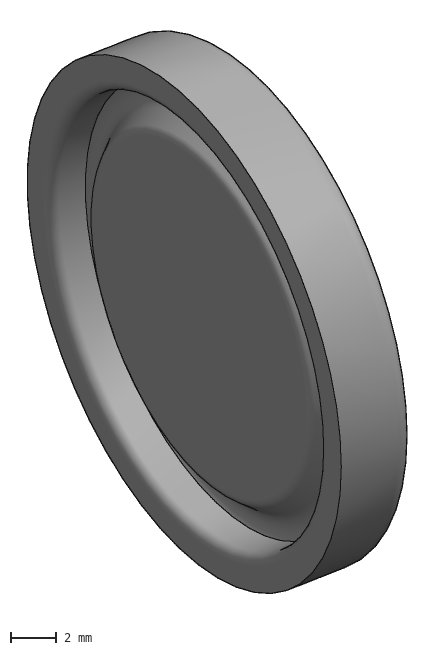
import cadquery as cq
import math

outer_radius = 12.5
thickness = 4.7

back_cone_angle = math.radians(20)
back_flat_radius = 9.42
back_corner_radius = 0.8

recess_radius = 10.75
rim_edge_radius = 0.5
recess_wall_depth = 1.9

centre_depth = 0.8
centre_flat_radius = 8.48
centre_edge_radius = 0.5
flank_angle = math.radians(39)
flank_foot_radius = 9.48

front_y = -thickness / 2
back_y = thickness / 2


def arc_middle(centre, radius, start_angle, end_angle):
    """Point halfway along an arc whose angles are measured from the radial direction."""
    angle = (start_angle + end_angle) / 2
    return (centre[0] + radius * math.cos(angle), centre[1] + radius * math.sin(angle))


corner_end_angle = math.pi / 2 - back_cone_angle
corner_centre_radius = outer_radius - back_corner_radius
cone_start_radius = corner_centre_radius + back_corner_radius * math.cos(corner_end_angle)
cone_start_y = back_y - (cone_start_radius - back_flat_radius) * math.tan(back_cone_angle)
corner_centre_y = cone_start_y - back_corner_radius * math.sin(corner_end_angle)
corner_centre = (corner_centre_radius, corner_centre_y)
corner_middle = arc_middle(corner_centre, back_corner_radius, 0, corner_end_angle)

rim_inner_radius = recess_radius + rim_edge_radius
rim_edge_centre = (rim_inner_radius, front_y + rim_edge_radius)
rim_edge_middle = arc_middle(rim_edge_centre, rim_edge_radius, -math.pi, -math.pi / 2)

centre_y = front_y + centre_depth
centre_edge_centre = (centre_flat_radius, centre_y + centre_edge_radius)
flank_top_radius = centre_flat_radius + centre_edge_radius * math.cos(flank_angle)
flank_top_y = centre_edge_centre[1] - centre_edge_radius * math.sin(flank_angle)
centre_edge_middle = arc_middle(centre_edge_centre, centre_edge_radius, -math.pi / 2, -flank_angle)
flank_foot_y = flank_top_y + (flank_foot_radius - flank_top_radius) / math.tan(flank_angle)

half_section = (
    cq.Workplane("XY")
    .moveTo(0, centre_y)
    .lineTo(centre_flat_radius, centre_y)
    .threePointArc(centre_edge_middle, (flank_top_radius, flank_top_y))
    .lineTo(flank_foot_radius, flank_foot_y)
    .tangentArcPoint((recess_radius, front_y + recess_wall_depth), relative=False)
    .lineTo(recess_radius, front_y + rim_edge_radius)
    .threePointArc(rim_edge_middle, (rim_inner_radius, front_y))
    .lineTo(outer_radius, front_y)
    .lineTo(outer_radius, corner_centre_y)
    .threePointArc(corner_middle, (cone_start_radius, cone_start_y))
    .lineTo(back_flat_radius, back_y)
    .lineTo(0, back_y)
    .close()
)

result = half_section.revolve(360, (0, 0, 0), (0, 1, 0))